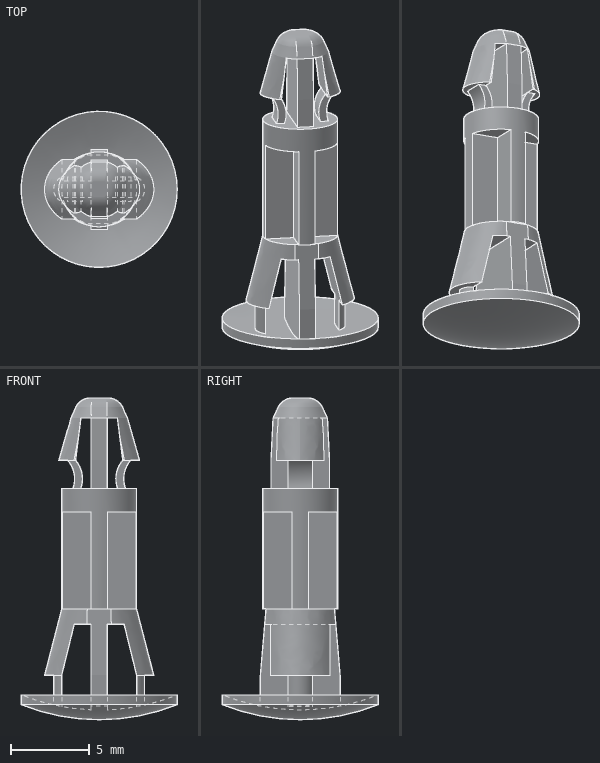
import cadquery as cq
import math

disc_edge = 0.63
dish_depth = 0.97
lower_barb_bottom = 1.25
lower_slot_top = 4.5
lower_barb_top = 5.5
collar_bottom = 11.7
collar_top = 13.2
upper_barb_bottom = 15.0
upper_slot_top = 17.7
dome_bottom = 18.4
tip = 19.0

disc_radius = 5.0
body_radius = 2.4
web_thickness = 1.05
strut_width = 1.56
strut_thickness = 0.52
beyond = 10.0

lower_barb_x = 3.5
lower_barb_y = 2.61
lower_barb_top_y = 2.32
lower_flat_top = 2.2
lower_flat_bottom = 2.56
lower_gap_top = 1.59
lower_gap_bottom = 2.39

upper_barb_x = 2.59
upper_barb_y = 1.94
upper_barb_top_radius = 1.82
upper_flat_top = 1.75
upper_flat_bottom = 1.88
upper_leg_width_top = 2.9
upper_leg_width_bottom = 3.04
upper_gap_top = 1.16
upper_gap_bottom = 1.5

dome_radius = 1.51
dome_mid_radius = 1.15
dome_mid_height = 18.82
tip_radius = 0.6
dome_flat = 1.42
dome_mid_flat = 1.05
tip_flat = 0.5

bow_foot = 1.17
bow_waist = 1.06
bow_waist_height = 13.81


def box(size_x, size_y, bottom, top):
    """Box centred on the Z axis between two heights."""
    plate = cq.Workplane("XY").workplane(offset=bottom).rect(size_x, size_y)
    return plate.extrude(top - bottom)


def cylinder(radius, bottom, top):
    return cq.Workplane("XY").workplane(offset=bottom).circle(radius).extrude(top - bottom)


def both_sides(solid):
    """The solid together with its mirror image across the YZ plane."""
    return solid.union(solid.mirror("YZ"))


def tapered_slab(plane, half_bottom, half_top, bottom, top, half_length):
    """Symmetric trapezoid drawn on a vertical plane and extruded both ways."""
    outline = [(-half_bottom, bottom), (half_bottom, bottom), (half_top, top), (-half_top, top)]
    return cq.Workplane(plane).polyline(outline).close().extrude(half_length, both=True)


def flared_skirt(bottom_axes, top_axes, bottom, top):
    """Ruled body between two ellipses given by their half axes along X and Y."""
    base = cq.Workplane("XY").workplane(offset=bottom).ellipse(*bottom_axes)
    return base.workplane(offset=top - bottom).ellipse(*top_axes).loft(ruled=True)


def base_disc():
    """Dished disc: a spherical underside and a matching hollow on top."""
    mid_radius = disc_radius / 2
    sphere_radius = (disc_radius ** 2 + dish_depth ** 2) / (2 * dish_depth)
    mid_sag = dish_depth - sphere_radius + math.sqrt(sphere_radius ** 2 - mid_radius ** 2)
    profile = (
        cq.Workplane("XZ")
        .moveTo(0, -dish_depth)
        .threePointArc((mid_radius, -mid_sag), (disc_radius, 0))
        .lineTo(disc_radius, -disc_edge)
        .threePointArc((mid_radius, -disc_edge - mid_sag), (0, -disc_edge - dish_depth))
        .close()
    )
    return profile.revolve(360, (0, 0), (0, 1))


def straight_strut():
    """Strut under a lower leg: flat inside and rounded outside."""
    strut = (
        cq.Workplane("XY")
        .workplane(offset=-dish_depth)
        .moveTo(lower_gap_bottom, -strut_width / 2)
        .threePointArc(
            (lower_gap_bottom + strut_thickness, 0),
            (lower_gap_bottom, strut_width / 2),
        )
        .close()
    )
    return strut.extrude(lower_barb_bottom + dish_depth)


def lower_barb():
    """Flared head with two side legs, a central web and straight struts."""
    skirt = flared_skirt(
        (lower_barb_x, lower_barb_y),
        (body_radius, lower_barb_top_y),
        lower_barb_bottom,
        lower_barb_top,
    )
    flats = tapered_slab(
        "YZ", lower_flat_bottom, lower_flat_top, lower_barb_bottom, lower_barb_top, beyond
    )
    skirt = skirt.intersect(flats)
    gap = tapered_slab(
        "XZ", lower_gap_bottom, lower_gap_top, lower_barb_bottom, lower_slot_top, beyond
    )
    crown_and_legs = skirt.cut(gap)
    web = flats.intersect(box(web_thickness, beyond, lower_barb_bottom, lower_barb_top))
    web_foot = box(web_thickness, 2 * lower_flat_bottom, -dish_depth, lower_barb_bottom)
    struts = both_sides(straight_strut())
    return crown_and_legs.union(web).union(web_foot).union(struts)


def body():
    """Cross-shaped column topped by a round collar."""
    height = (lower_barb_top, collar_bottom)
    cross = box(web_thickness, beyond, *height).union(box(beyond, web_thickness, *height))
    column = cross.intersect(cylinder(body_radius, *height))
    return column.union(cylinder(body_radius, collar_bottom, collar_top))


def nose_outline(plane, base, shoulder, middle, end):
    """Half outline of the nose from its base to the flat tip."""
    return (
        cq.Workplane(plane)
        .moveTo(0, upper_slot_top)
        .lineTo(base, upper_slot_top)
        .lineTo(shoulder, dome_bottom)
        .threePointArc((middle, dome_mid_height), (end, tip))
        .lineTo(0, tip)
        .close()
    )


def nose():
    """Round nose trimmed by a narrower outline along Y."""
    turned = nose_outline("XZ", upper_barb_top_radius, dome_radius, dome_mid_radius, tip_radius)
    turned = turned.revolve(360, (0, 0), (0, 1))
    trim = nose_outline("YZ", upper_flat_top, dome_flat, dome_mid_flat, tip_flat)
    trim = trim.extrude(beyond, both=True)
    return turned.intersect(trim.union(trim.mirror("XZ")))


def bowed_struts():
    """Pair of thin struts that bow outward to meet the upper legs."""
    strut = (
        cq.Workplane("XZ")
        .moveTo(bow_foot, collar_top)
        .threePointArc((bow_waist, bow_waist_height), (upper_gap_bottom, upper_barb_bottom))
        .lineTo(upper_gap_bottom + strut_thickness, upper_barb_bottom)
        .threePointArc(
            (bow_waist + strut_thickness, bow_waist_height),
            (bow_foot + strut_thickness, collar_top),
        )
        .close()
        .extrude(strut_width / 2, both=True)
    )
    return both_sides(strut)


def upper_barb():
    """Two flared legs either side of a central web."""
    height = (upper_barb_bottom, upper_slot_top)
    top_axes = (upper_barb_top_radius, upper_barb_top_radius)
    skirt = flared_skirt((upper_barb_x, upper_barb_y), top_axes, *height)
    sides = tapered_slab(
        "YZ", upper_leg_width_bottom / 2, upper_leg_width_top / 2, *height, beyond
    )
    gap = tapered_slab("XZ", upper_gap_bottom, upper_gap_top, *height, beyond)
    legs = skirt.intersect(sides).cut(gap)
    web = tapered_slab("YZ", upper_flat_bottom, upper_flat_top, *height, web_thickness / 2)
    web_foot = box(web_thickness, 2 * upper_flat_bottom, collar_top, upper_barb_bottom)
    return legs.union(web).union(web_foot)


result = base_disc()
for section in (lower_barb(), body(), bowed_struts(), upper_barb(), nose()):
    result = result.union(section)